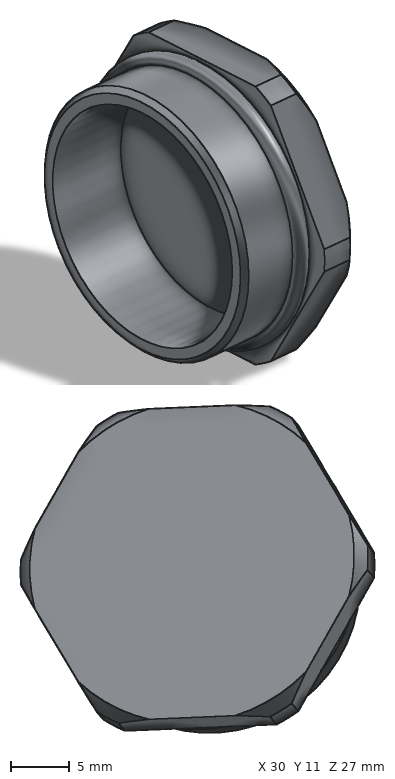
import math

import cadquery as cq

across_flats = 27.0
across_corners = across_flats / math.cos(math.radians(30))
corner_diameter = 30.0
head_thickness = 4.0
corner_chamfer = 1.0

total_length = 11.0
body_diameter = 25.0
bore_diameter = 22.0
rim_chamfer = 0.5
bore_depth = 8.0

ring_outer_diameter = across_flats
ring_section_diameter = 1.5
ring_seat_depth = 0.1
ring_centre_y = ring_seat_depth - ring_section_diameter / 2
ring_burial = 0.2

body_length = total_length - head_thickness


def cylinder(diameter, start_y, end_y):
    """Solid cylinder about the Y axis between two Y positions."""
    return (
        cq.Workplane("XZ", origin=(0, end_y, 0))
        .circle(diameter / 2)
        .extrude(end_y - start_y)
    )


def make_head():
    """Hexagon with flats at +Z and -Z, its corners turned round and chamfered at the back."""
    hexagon = (
        cq.Workplane("XZ", origin=(0, head_thickness, 0))
        .polygon(6, across_corners)
        .extrude(head_thickness)
    )
    turned_blank = cylinder(corner_diameter, 0, head_thickness).faces(">Y").chamfer(corner_chamfer)
    return hexagon.intersect(turned_blank)


def make_body():
    """Round plug body with a chamfered outer rim."""
    return cylinder(body_diameter, -body_length, head_thickness).faces("<Y").chamfer(rim_chamfer)


def make_ring():
    """Round-section sealing ring pressed into the head, its inner side buried in the body wall."""
    section_radius = ring_section_diameter / 2
    outer_radius = ring_outer_diameter / 2
    centre_radius = outer_radius - section_radius
    chord_radius = body_diameter / 2 - ring_burial
    half_chord = math.sqrt(section_radius**2 - (centre_radius - chord_radius) ** 2)
    return (
        cq.Workplane("XY")
        .moveTo(chord_radius, ring_centre_y + half_chord)
        .threePointArc((outer_radius, ring_centre_y), (chord_radius, ring_centre_y - half_chord))
        .close()
        .revolve(360, (0, 0, 0), (0, 1, 0))
    )


def make_bore():
    """Blind bore from the open end."""
    return cylinder(bore_diameter, -body_length, bore_depth - body_length)


result = make_head().union(make_body()).union(make_ring()).cut(make_bore())